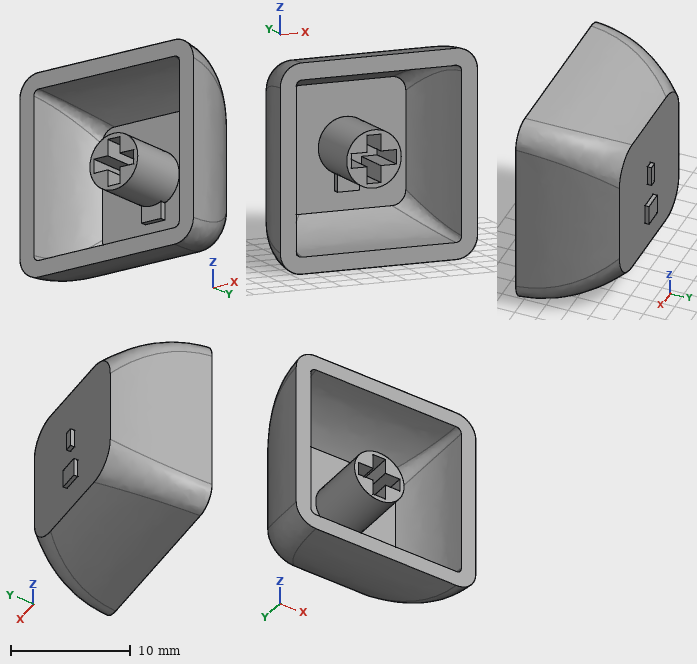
import cadquery as cq

TOTAL_DEPTH = 8.65
LEGEND_RISE = 0.36
SHELL_DEPTH = TOTAL_DEPTH - LEGEND_RISE
OUTER_RIM_WIDTH = 18.1
OUTER_ROOF_WIDTH = 12.7
OUTER_RIM_RADIUS = 1.97
OUTER_ROOF_RADIUS = 2.72

CAVITY_DEPTH = 6.82
CAVITY_RIM_WIDTH = 15.17
CAVITY_FLOOR_WIDTH = 11.05
CAVITY_RIM_RADIUS = 0.52
CAVITY_FLOOR_RADIUS = 1.27

STEM_DIAMETER = 5.0
STEM_RECESS = 1.01
CROSS_SPAN = 4.15
CROSS_SLOT_WIDTH = 1.25
CROSS_DEPTH = 3.98

PLATE_THICKNESS = 0.56
BAR_HEIGHT = 1.83
BAR_GAP = 1.85
UPPER_BAR_WIDTH = 0.69
LOWER_BAR_WIDTH = 1.77
PLATE_MARGIN = 0.13
PLATE_WIDTH = LOWER_BAR_WIDTH + 2 * PLATE_MARGIN
PLATE_HEIGHT = 2 * BAR_HEIGHT + BAR_GAP + 2 * PLATE_MARGIN
LEGEND_CENTER_Z = -BAR_GAP / 2
BAR_OFFSET = (BAR_HEIGHT + BAR_GAP) / 2


def block(width, height, center_z, y_start, y_end):
    """Box centered on X = 0 that spans y_start to y_end."""
    length = y_end - y_start
    center_y = (y_start + y_end) / 2
    return cq.Workplane("XY").box(width, length, height).translate((0, center_y, center_z))


def rounded_square(width, radius, y):
    """Wire of a square with round corners, in the plane at the given Y."""
    outline = cq.Sketch().rect(width, width).vertices().fillet(radius)
    plane = cq.Plane(origin=(0, y, 0), xDir=(1, 0, 0), normal=(0, 1, 0))
    return outline.reset().faces().val().outerWire().moved(cq.Location(plane))


def bowed_block(depth, rim_width, end_width, rim_radius, end_radius):
    """Loft from the rim; width and radius change with the square of the depth."""
    sections = []
    for step in (0, 0.5, 1):
        bow = step ** 2
        width = rim_width + (end_width - rim_width) * bow
        radius = rim_radius + (end_radius - rim_radius) * bow
        sections.append(rounded_square(width, radius, depth * step))
    return cq.Workplane(cq.Solid.makeLoft(sections))


def make_stem():
    """Round post from the cavity floor with a blind cross-shaped socket."""
    length = (CAVITY_DEPTH + SHELL_DEPTH) / 2 - STEM_RECESS
    face_plane = cq.Plane(origin=(0, STEM_RECESS, 0), xDir=(1, 0, 0), normal=(0, 1, 0))
    post = cq.Workplane(face_plane).circle(STEM_DIAMETER / 2).extrude(length)
    socket_end = STEM_RECESS + CROSS_DEPTH
    across = block(CROSS_SPAN, CROSS_SLOT_WIDTH, 0, STEM_RECESS, socket_end)
    upright = block(CROSS_SLOT_WIDTH, CROSS_SPAN, 0, STEM_RECESS, socket_end)
    return post.cut(across).cut(upright)


def make_legend():
    """Legend insert: plate with a narrow upper bar and a wide lower bar."""
    legend = block(
        PLATE_WIDTH, PLATE_HEIGHT, LEGEND_CENTER_Z, CAVITY_DEPTH - PLATE_THICKNESS, CAVITY_DEPTH
    )
    for width, offset in ((UPPER_BAR_WIDTH, BAR_OFFSET), (LOWER_BAR_WIDTH, -BAR_OFFSET)):
        bar = block(width, BAR_HEIGHT, LEGEND_CENTER_Z + offset, CAVITY_DEPTH, TOTAL_DEPTH)
        legend = legend.union(bar)
    return legend


def make_housing(legend):
    """Hollow cap with its stem, cut to fit around the legend insert."""
    shell = bowed_block(
        SHELL_DEPTH, OUTER_RIM_WIDTH, OUTER_ROOF_WIDTH, OUTER_RIM_RADIUS, OUTER_ROOF_RADIUS
    )
    cavity = bowed_block(
        CAVITY_DEPTH, CAVITY_RIM_WIDTH, CAVITY_FLOOR_WIDTH, CAVITY_RIM_RADIUS, CAVITY_FLOOR_RADIUS
    )
    return shell.cut(cavity).union(make_stem()).cut(legend)


legend = make_legend()
housing = make_housing(legend)

result = cq.Compound.makeCompound([housing.val(), legend.val()])